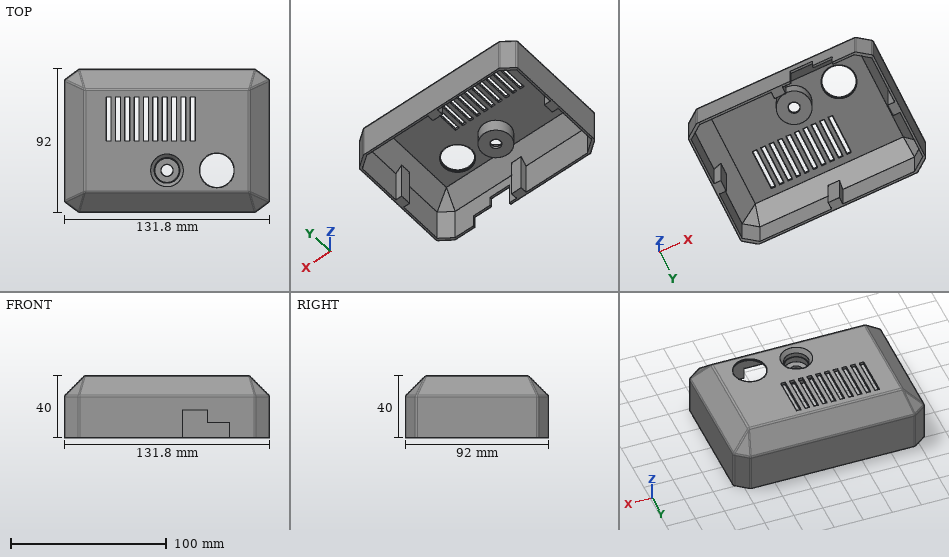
import cadquery as cq
import math

LENGTH = 131.8
WIDTH = 92.0
HEIGHT = 40.0

BEVEL = 13.0
CORNER_X = 9.3
CORNER_Y = 6.9
EDGE_RADIUS = 2.0
WALL = 1.5
ROOF = 2.0

SLOT_COUNT = 10
SLOT_WIDTH = 3.0
SLOT_LENGTH = 28.0
SLOT_PITCH = 6.0
FIRST_SLOT_X = -39.0
SLOT_START_Y = 0.0

OPENING_Y = -19.0
LARGE_HOLE_X = 32.0
LARGE_HOLE_DIAMETER = 22.0
LARGE_RECESS_DIAMETER = 23.0
LARGE_HOLE_LIP = 1.0

WELL_X = 0.0
WELL_OUTER_DIAMETER = 23.0
WELL_RIM_DIAMETER = 21.0
WELL_UPPER_DIAMETER = 16.5
WELL_LOWER_DIAMETER = 15.5
WELL_HOLE_DIAMETER = 7.6
WELL_RIM_DEPTH = 3.0
WELL_STEP_DEPTH = 6.0
WELL_DEPTH = 10.0
WELL_FLOOR = 2.0

NOTCH_START_X = 10.0
NOTCH_STEP_X = 26.0
NOTCH_END_X = 40.0
NOTCH_HIGH = 18.0
NOTCH_LOW = 10.0

POST_WIDTH = 8.0
POST_REACH = 6.4


def faceted_block(inset, roof_inset):
    """Beveled box with cut-off corners, set back from the outer surface.

    Walls and bevels are set back by `inset` and the roof by `roof_inset`.
    """
    half_x = LENGTH / 2 - inset
    half_y = WIDTH / 2 - inset
    top = HEIGHT - roof_inset
    bevel = BEVEL - roof_inset + inset * (math.sqrt(2) - 1)
    shoulder = top - bevel
    flat_x = half_x - CORNER_X
    flat_y = half_y - CORNER_Y
    roof_x = half_x - bevel
    roof_y = half_y - bevel

    outline = [
        (flat_x, -half_y), (half_x, -flat_y), (half_x, flat_y), (flat_x, half_y),
        (-flat_x, half_y), (-half_x, flat_y), (-half_x, -flat_y), (-flat_x, -half_y),
    ]
    roof = [(roof_x, -roof_y), (roof_x, roof_y), (-roof_x, roof_y), (-roof_x, -roof_y)]
    floor_ring = [(x, y, 0) for x, y in outline]
    shoulder_ring = [(x, y, shoulder) for x, y in outline]
    roof_ring = [(x, y, top) for x, y in roof]

    polygons = [floor_ring, roof_ring]
    for i in range(len(outline)):
        j = (i + 1) % len(outline)
        polygons.append([floor_ring[i], floor_ring[j], shoulder_ring[j], shoulder_ring[i]])
    for i in range(len(roof)):
        corner = 2 * i
        side_end = (corner + 2) % len(outline)
        apex = roof_ring[i]
        next_apex = roof_ring[(i + 1) % len(roof)]
        polygons.append([shoulder_ring[corner], shoulder_ring[corner + 1], apex])
        polygons.append([shoulder_ring[corner + 1], shoulder_ring[side_end], next_apex, apex])

    faces = []
    for polygon in polygons:
        loop = cq.Wire.makePolygon([cq.Vector(*point) for point in polygon], close=True)
        faces.append(cq.Face.makeFromWires(loop))
    return cq.Workplane(cq.Solid.makeSolid(cq.Shell.makeShell(faces)))


def cylinder(x, y, diameter, bottom, top):
    return cq.Workplane("XY", origin=(x, y, bottom)).circle(diameter / 2).extrude(top - bottom)


def wall_posts():
    offset_x = (LENGTH - POST_REACH) / 2
    offset_y = (WIDTH - POST_REACH) / 2
    end_posts = (
        cq.Workplane("XY")
        .pushPoints([(-offset_x, 0), (offset_x, 0)])
        .rect(POST_REACH, POST_WIDTH)
        .extrude(HEIGHT)
    )
    side_posts = (
        cq.Workplane("XY")
        .pushPoints([(0, -offset_y), (0, offset_y)])
        .rect(POST_WIDTH, POST_REACH)
        .extrude(HEIGHT)
    )
    return end_posts.union(side_posts)


def well_cutter():
    rim = WELL_RIM_DIAMETER / 2
    upper = WELL_UPPER_DIAMETER / 2
    lower = WELL_LOWER_DIAMETER / 2
    hole = WELL_HOLE_DIAMETER / 2
    return (
        cq.Workplane("XZ", origin=(WELL_X, OPENING_Y, 0))
        .moveTo(0, HEIGHT)
        .lineTo(rim, HEIGHT)
        .lineTo(upper, HEIGHT - WELL_RIM_DEPTH)
        .lineTo(upper, HEIGHT - WELL_STEP_DEPTH)
        .lineTo(lower, HEIGHT - WELL_STEP_DEPTH)
        .lineTo(lower, HEIGHT - WELL_DEPTH)
        .lineTo(hole, HEIGHT - WELL_DEPTH)
        .lineTo(hole, 0)
        .lineTo(0, 0)
        .close()
        .revolve(360, (0, 0, 0), (0, 1, 0))
    )


def vent_slots():
    return (
        cq.Workplane("XY", origin=(FIRST_SLOT_X, SLOT_START_Y, 0))
        .pushPoints([(i * SLOT_PITCH, 0) for i in range(SLOT_COUNT)])
        .rect(SLOT_WIDTH, SLOT_LENGTH, centered=False)
        .extrude(HEIGHT)
    )


def cable_notch():
    return (
        cq.Workplane("XZ", origin=(0, -WIDTH / 2 + WALL, 0))
        .moveTo(NOTCH_START_X, 0)
        .lineTo(NOTCH_START_X, NOTCH_HIGH)
        .lineTo(NOTCH_STEP_X, NOTCH_HIGH)
        .lineTo(NOTCH_STEP_X, NOTCH_LOW)
        .lineTo(NOTCH_END_X, NOTCH_LOW)
        .lineTo(NOTCH_END_X, 0)
        .close()
        .extrude(WALL)
    )


def large_hole():
    recess_top = HEIGHT - LARGE_HOLE_LIP
    hole = cylinder(LARGE_HOLE_X, OPENING_Y, LARGE_HOLE_DIAMETER, 0, HEIGHT)
    recess = cylinder(LARGE_HOLE_X, OPENING_Y, LARGE_RECESS_DIAMETER, 0, recess_top)
    return hole.union(recess)


outer = faceted_block(0, 0).edges("not <Z").fillet(EDGE_RADIUS)
cavity = faceted_block(WALL, ROOF)
cover = outer.cut(cavity)

well_bottom = HEIGHT - WELL_DEPTH - WELL_FLOOR
cover = cover.union(cylinder(WELL_X, OPENING_Y, WELL_OUTER_DIAMETER, well_bottom, HEIGHT))
cover = cover.union(wall_posts().intersect(outer))

cover = cover.cut(well_cutter())
cover = cover.cut(vent_slots())
cover = cover.cut(large_hole())
result = cover.cut(cable_notch())